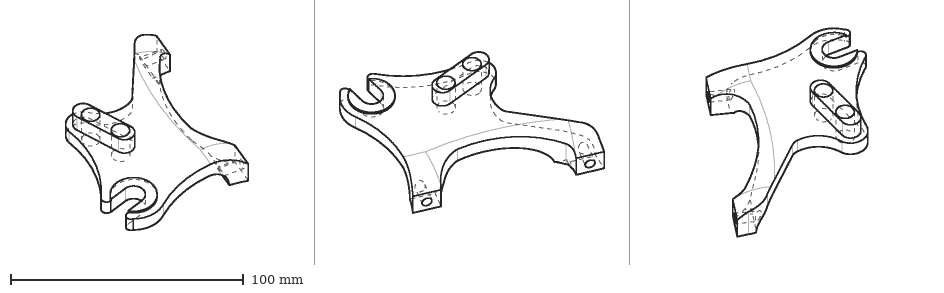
import cadquery as cq
import math

PLATE_BOTTOM = 10.3
PLATE_TOP = 17.2
SEAT_TOP = 18.2
BOSS_TOP = 25.4

SLOT_RADIUS = 5.1
SLOT_TILT = 7.5
SLOT_LENGTH = 25.3
SEAT_RADIUS = 10.1
HOOK_RADIUS = 13.7

BOSS_LEFT_X = -43.0
BOSS_RIGHT_X = -21.0
BOSS_Y = 22.1
BOSS_RADIUS = 4.5
BOSS_HOLE_XS = (-38.9, -23.1)
BOSS_HOLE_RADIUS = 4.0
TAB_RADIUS = 7.5

MOUNT_ANGLE = 26.8
LEFT_TIP = (-52.6, 89.0)
TIP_WIDTH = 12.8
TIP_PITCH = 73.8
FOOT_DEPTH = 8.5
BEND_LENGTH = 17.5
BEND_RADIUS = 25.6
UNDER_RADIUS = PLATE_BOTTOM
RING_CENTER = (42.6, 181.9)
RING_RADIUS = 147.0
LEFT_FOOT_BEVEL = 1.5
RIGHT_FOOT_BEVEL = 4.1
MOUNT_HOLE_RADIUS = 2.2
MOUNT_HOLE_Z = 4.9
MOUNT_HOLE_LENGTH = 22.3
CUT = 121.6

angle = math.radians(MOUNT_ANGLE)
ALONG = cq.Vector(math.cos(angle), -math.sin(angle), 0)
OUTWARD = cq.Vector(math.sin(angle), math.cos(angle), 0)


def on_mount(distance):
    """Point on the mounting line, measured from the outer corner of the left tip."""
    return (LEFT_TIP[0] + distance * ALONG.x, LEFT_TIP[1] + distance * ALONG.y)


def on_circle(center, radius, degrees):
    a = math.radians(degrees)
    return (center[0] + radius * math.cos(a), center[1] + radius * math.sin(a))


def outline():
    tab = (BOSS_LEFT_X, BOSS_Y)
    hook = (0, 0)
    return (
        cq.Workplane("XY")
        .moveTo(*LEFT_TIP)
        .lineTo(-54.2, 84.2)
        .threePointArc((-55.3, 79.5), (-52.7, 73.2))
        .lineTo(-35.4, 47.4)
        .threePointArc((-34.6, 45.8), (-34.4, 44.0))
        .threePointArc((-37.4, 35.0), on_circle(tab, TAB_RADIUS, 114))
        .threePointArc(on_circle(tab, TAB_RADIUS, 180), on_circle(tab, TAB_RADIUS, 252))
        .threePointArc((-24.6, 5.9), (-10.9, -8.7))
        .threePointArc((-8.7, -10.2), (-6.3, -8.1))
        .lineTo(3.7, -10.1)
        .threePointArc((5.8, -12.4), on_circle(hook, HOOK_RADIUS, -55))
        .threePointArc(on_circle(hook, HOOK_RADIUS, -20), on_circle(hook, HOOK_RADIUS, 14))
        .threePointArc((12.8, 25.3), on_mount(TIP_PITCH + TIP_WIDTH))
        .lineTo(*on_mount(TIP_PITCH))
        .threePointArc((5.7, 49.6), (-4.3, 47.8))
        .threePointArc((-26.5, 59.0), (-41.6, 76.6))
        .threePointArc((-42.4, 80.3), on_mount(TIP_WIDTH))
        .close()
    )


def above_bend(plane, start):
    """Section above the convex bend, which leaves the flat top at start."""
    half = BEND_RADIUS * math.sin(math.pi / 4)
    return (
        plane.moveTo(start, PLATE_TOP)
        .threePointArc(
            (start + half, PLATE_TOP - BEND_RADIUS + half),
            (start + BEND_RADIUS, PLATE_TOP - BEND_RADIUS),
        )
        .lineTo(start + BEND_RADIUS, PLATE_TOP)
        .close()
    )


def below_bend(plane, foot):
    """Section below the plate, ending in the concave quarter arc that drops to the foot."""
    half = UNDER_RADIUS * math.sin(math.pi / 4)
    center = foot - UNDER_RADIUS
    return (
        plane.moveTo(foot, 0)
        .threePointArc((center + half, half), (center, PLATE_BOTTOM))
        .lineTo(center - CUT, PLATE_BOTTOM)
        .lineTo(center - CUT, 0)
        .close()
    )


def across_arms():
    """Plane with x pointing out of the mounting plane and y up."""
    plane = cq.Plane(origin=(*LEFT_TIP, 0), xDir=OUTWARD, normal=ALONG)
    return cq.Workplane(plane).workplane(offset=-CUT / 2)


def ring_bend():
    """Space above the bend where it follows the curved edge of the flat top."""
    section = above_bend(cq.Workplane("XZ", origin=(*RING_CENTER, 0)), -RING_RADIUS)
    return section.revolve(360, (0, 0), (0, 1))


def foot_gap():
    """Bevelled space between the two feet."""
    plane = cq.Plane(origin=(*LEFT_TIP, 0), xDir=ALONG, normal=-OUTWARD)
    return (
        cq.Workplane(plane)
        .moveTo(TIP_WIDTH, 0)
        .lineTo(TIP_PITCH, 0)
        .lineTo(TIP_PITCH - RIGHT_FOOT_BEVEL, RIGHT_FOOT_BEVEL)
        .lineTo(TIP_WIDTH + LEFT_FOOT_BEVEL, LEFT_FOOT_BEVEL)
        .close()
        .extrude(CUT)
    )


def mount_hole(distance):
    x, y = on_mount(distance)
    plane = cq.Plane(origin=(x, y, MOUNT_HOLE_Z), xDir=ALONG, normal=-OUTWARD)
    return cq.Workplane(plane).circle(MOUNT_HOLE_RADIUS).extrude(MOUNT_HOLE_LENGTH)


def axle_slot():
    slot = (
        cq.Workplane("XY")
        .moveTo(-SLOT_RADIUS, 0)
        .threePointArc((0, SLOT_RADIUS), (SLOT_RADIUS, 0))
        .lineTo(SLOT_RADIUS, -SLOT_LENGTH)
        .lineTo(-SLOT_RADIUS, -SLOT_LENGTH)
        .close()
        .extrude(BOSS_TOP)
    )
    return slot.rotate((0, 0, 0), (0, 0, 1), -SLOT_TILT)


body = outline().extrude(PLATE_TOP)
body = body.cut(above_bend(across_arms(), -BEND_LENGTH).extrude(2 * CUT))
body = body.cut(below_bend(across_arms(), -FOOT_DEPTH).extrude(2 * CUT))
body = body.cut(ring_bend())
body = body.cut(foot_gap())
for hole_distance in (TIP_WIDTH / 2, TIP_PITCH + TIP_WIDTH / 2):
    body = body.cut(mount_hole(hole_distance))

seat = cq.Workplane("XY", origin=(0, 0, PLATE_BOTTOM)).circle(SEAT_RADIUS).extrude(SEAT_TOP - PLATE_BOTTOM)
body = body.union(seat).cut(axle_slot())

boss_length = BOSS_RIGHT_X - BOSS_LEFT_X + 2 * BOSS_RADIUS
boss = (
    cq.Workplane("XY", origin=((BOSS_LEFT_X + BOSS_RIGHT_X) / 2, BOSS_Y, PLATE_BOTTOM))
    .slot2D(boss_length, 2 * BOSS_RADIUS)
    .extrude(BOSS_TOP - PLATE_BOTTOM)
)
boss_holes = (
    cq.Workplane("XY")
    .pushPoints([(x, BOSS_Y) for x in BOSS_HOLE_XS])
    .circle(BOSS_HOLE_RADIUS)
    .extrude(BOSS_TOP)
)

result = body.union(boss).cut(boss_holes)